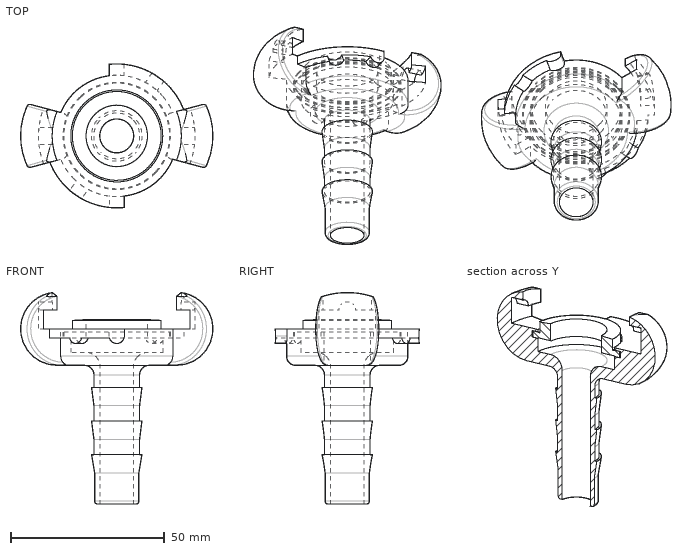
import cadquery as cq
import math


flange_radius = 19.8
flange_height = 11.95
flange_fillet = 3.05
mouth_diameter = 30.0
recess_depth = 7.65
funnel_diameter = 20.15
bore_diameter = 11.0

stem_diameter = 15.0
tip_diameter = 14.5
tip_fillet = 1.05
neck_fillet = 3.05
barb_diameter = 16.5
barb_top = -19.05
barb_length = 6.0
barb_pitch = 11.0
barb_count = 3

lug_radius = 47.0 / 2
lug_thickness = 3.05
bump_radius = 2.5
bump_depth = 4.75
bump_angles = (0, 35)

claw_reach = 31.4
claw_roundness = flange_height
claw_axis_offset = 8.3
claw_side_angle = 15.0
claw_root_half_width = 2.75
claw_edge_fillet = 1.05
claw_height = 11.9
claw_dome_radius = 26.2
claw_tip_radius = 21.05
claw_slot_radius = 25.5
claw_slot_height = 6.1
claw_notch_radius = 2.75

overall_height = 69.0
claw_round_centre = claw_reach - claw_roundness
claw_tip_height = math.sqrt(claw_roundness**2 - (claw_tip_radius - claw_round_centre) ** 2)
stem_bottom = claw_tip_height - overall_height

seal_diameter = 29.0
seal_hole_diameter = 20.0
seal_top = 3.05
seal_rim_height = 2.75
seal_flange_diameter = 34.5
groove_diameter = 35.0
groove_top = -1.05
groove_bottom = -3.05


def disc(diameter, bottom, top):
    """Cylinder about Z between two heights."""
    return cq.Workplane("XY").workplane(offset=bottom).circle(diameter / 2).extrude(top - bottom)


def make_flange():
    """Round flange with a rounded lower edge."""
    body = disc(2 * flange_radius, -flange_height, 0)
    return body.faces("<Z").edges().fillet(flange_fillet)


def make_stem():
    """Stem blending into the flange, with tapered barbs and a slimmer rounded tip."""
    stem_radius = stem_diameter / 2
    tip_radius = tip_diameter / 2
    diagonal = 1 - math.sqrt(0.5)
    profile = (
        cq.Workplane("XZ")
        .moveTo(0, -flange_height)
        .lineTo(stem_radius + neck_fillet, -flange_height)
        .threePointArc(
            (stem_radius + diagonal * neck_fillet, -flange_height - diagonal * neck_fillet),
            (stem_radius, -flange_height - neck_fillet),
        )
    )
    for index in range(barb_count):
        top = barb_top - index * barb_pitch
        end_radius = tip_radius if index == barb_count - 1 else stem_radius
        profile = (
            profile.lineTo(stem_radius, top)
            .lineTo(barb_diameter / 2, top)
            .lineTo(end_radius, top - barb_length)
        )
    stem = profile.lineTo(tip_radius, stem_bottom).lineTo(0, stem_bottom).close().revolve()
    return stem.faces("<Z").edges().fillet(tip_fillet)


def make_lug():
    """Lug on the -Y, -X part of the rim, with two half-round bumps underneath."""
    rim = disc(2 * lug_radius, -bump_depth, 0)
    bump_centre = bump_radius - bump_depth
    quadrant = (
        cq.Workplane("XY")
        .workplane(offset=-lug_thickness)
        .moveTo(0, 0)
        .lineTo(0, -lug_radius)
        .lineTo(-lug_radius, -lug_radius)
        .lineTo(-lug_radius, 0)
        .close()
        .extrude(lug_thickness)
    )
    end_block = cq.Workplane("XY").box(bump_radius, lug_radius, -bump_centre, centered=False)
    lug = quadrant.union(end_block.translate((0, -lug_radius, bump_centre)))
    for angle in bump_angles:
        bump = (
            cq.Workplane("XZ")
            .center(0, bump_centre)
            .circle(bump_radius)
            .extrude(lug_radius)
            .rotate((0, 0, 0), (0, 0, 1), -angle)
        )
        lug = lug.union(bump)
    return lug.intersect(rim)


def make_claw():
    """Claw on the +X side: a rounded wedge, domed on top, slotted to take a lug and notched for its bump."""
    axis = claw_axis_offset
    round_centre = claw_round_centre - axis
    blank = (
        cq.Workplane("XZ")
        .moveTo(0, -claw_roundness)
        .lineTo(round_centre, -claw_roundness)
        .threePointArc((claw_reach - axis, 0), (round_centre, claw_roundness))
        .lineTo(0, claw_roundness)
        .close()
        .revolve()
        .translate((axis, 0, 0))
    )
    side_slope = math.tan(math.radians(claw_side_angle))
    inner_half_width = claw_root_half_width + axis * side_slope
    outer_half_width = claw_root_half_width + claw_reach * side_slope
    wedge = (
        cq.Workplane("XY")
        .workplane(offset=-claw_reach)
        .moveTo(axis, -inner_half_width)
        .lineTo(claw_reach, -outer_half_width)
        .lineTo(claw_reach, outer_half_width)
        .lineTo(axis, inner_half_width)
        .close()
        .extrude(2 * claw_reach)
    )
    claw = blank.intersect(wedge)
    outer_edge_zone = cq.selectors.BoxSelector(
        (claw_round_centre, -claw_reach, -claw_roundness / 2),
        (claw_reach, claw_reach, claw_roundness / 2),
    )
    claw = claw.edges(outer_edge_zone).fillet(claw_edge_fillet)
    dome = (
        cq.Workplane("YZ")
        .center(0, claw_height - claw_dome_radius)
        .circle(claw_dome_radius)
        .extrude(claw_reach)
    )
    slot = disc(2 * claw_slot_radius, 0, claw_slot_height)
    throat = disc(2 * claw_tip_radius, 0, 2 * claw_height)
    notch = (
        cq.Workplane("YZ")
        .center(0, claw_slot_height)
        .circle(claw_notch_radius)
        .extrude(claw_slot_radius)
        .intersect(disc(2 * claw_slot_radius, 0, claw_height))
    )
    return claw.intersect(dome).cut(slot).cut(throat).cut(notch)


def make_housing():
    """Flange, stem, two lugs and two claws in one piece, with recess, groove and bore."""
    body = make_flange().union(make_stem())
    lug = make_lug()
    claw = make_claw()
    for turn in (0, 180):
        body = body.union(lug.rotate((0, 0, 0), (0, 0, 1), turn))
        body = body.union(claw.rotate((0, 0, 0), (0, 0, 1), turn))
    bore = disc(bore_diameter, stem_bottom, 0)
    mouth = disc(mouth_diameter, -recess_depth, 0)
    groove = disc(groove_diameter, groove_bottom, groove_top)
    return body.cut(bore).cut(mouth).cut(groove).cut(make_funnel())


def make_funnel():
    """Cutter for the rounded entry from the recess floor into the bore."""
    bore_radius = bore_diameter / 2
    funnel_radius = funnel_diameter / 2
    entry_fillet = funnel_radius - bore_radius
    diagonal = (1 - math.sqrt(0.5)) * entry_fillet
    return (
        cq.Workplane("XZ")
        .moveTo(0, -recess_depth)
        .lineTo(funnel_radius, -recess_depth)
        .threePointArc(
            (bore_radius + diagonal, -recess_depth - diagonal),
            (bore_radius, -recess_depth - entry_fillet),
        )
        .lineTo(0, -recess_depth - entry_fillet)
        .close()
        .revolve()
    )


def make_seal():
    """Ring with a slightly conical top and a flange that sits in the groove."""
    hole_radius = seal_hole_diameter / 2
    return (
        cq.Workplane("XZ")
        .moveTo(hole_radius, groove_bottom)
        .lineTo(seal_flange_diameter / 2, groove_bottom)
        .lineTo(seal_flange_diameter / 2, groove_top)
        .lineTo(seal_diameter / 2, groove_top)
        .lineTo(seal_diameter / 2, seal_rim_height)
        .lineTo(hole_radius, seal_top)
        .close()
        .revolve()
    )


housing = make_housing()
seal = make_seal()
result = cq.Compound.makeCompound([housing.val(), seal.val()])